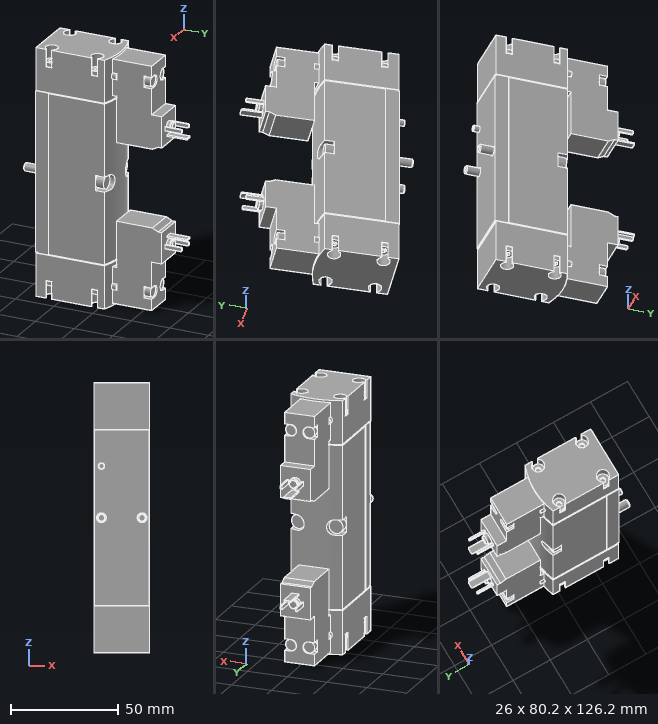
import cadquery as cq
import math

total_height = 126.2
width = 26.0
shoulder_y = 35.8
crown_y = 38.2

cap_base_z = 41.1
cap_front_y = 0.4
plate_inset = 0.4
plate_depth = 6.8
joint_gap = 0.3
joint_depth = plate_inset

cap_screw_x = 9.7
cap_screw_ys = (7.1, 30.7)
cap_hole_diameter = 6.0
cap_head_depth = 6.5
cap_hole_depth = 8.8
cap_slot_width = 3.0
socket_across_flats = 2.5
socket_depth = 1.5

mount_screw_x = 9.5
mount_shank_diameter = 4.0
mount_shank_length = 7.0
mount_shank_chamfer = 0.5
mount_clearance_diameter = 4.5
mount_clearance_depth = 1.3
mount_head_diameter = 7.0
mount_head_top_y = 35.3
mount_seat_y = 31.2
mount_slot_width = 7.6

pin_z = 24.1
pin_diameter = 3.0
pin_length = 3.0
pin_chamfer = 0.3

coil_width = 15.0
coil_top_z = 62.0
coil_foot_z = 43.4
coil_foot_y = 36.6
coil_inner_y = 39.5
coil_back_y = 57.7
connector_top_z = 37.4
connector_y = 62.8
coil_bottom_z = 20.0
bevel_start_y = 61.1
bevel_end_y = 58.0
bevel_start_z = 21.5

coil_screw_x = 4.5
coil_screw_z = 53.4
coil_head_diameter = 5.5
coil_head_top_y = 56.9
coil_seat_y = 53.6
coil_slot_width = 5.7
lug_x = 6.4
lug_diameter = 3.8
lug_top_y = 39.6

contact_z = 29.9
collar_diameter = 5.0
collar_length = 1.8
ring_diameter = 3.8
ring_end_y = 65.6
blade_thickness = 0.8
side_blade_x = 3.8
side_blade_width = 2.0
side_blade_end_y = 71.5
side_blade_chamfer = 0.4
ground_blade_z = 25.6
ground_blade_width = 3.5
ground_blade_end_y = 73.2
ground_blade_chamfer = 0.4

half_height = total_height / 2
half_width = width / 2


def block(x_range, y_range, z_range):
    """Box given by its limits along each axis."""
    (x0, x1), (y0, y1), (z0, z1) = x_range, y_range, z_range
    return cq.Workplane("XY").box(x1 - x0, y1 - y0, z1 - z0, centered=False).translate((x0, y0, z0))


def rod_along_y(x, z, y_start, y_end, diameter):
    """Cylinder parallel to Y between two Y positions."""
    direction = cq.Vector(0, 1, 0)
    return cq.Workplane(
        cq.Solid.makeCylinder(diameter / 2, y_end - y_start, cq.Vector(x, y_start, z), direction)
    )


def arched_prism(front_y, inset, z_range):
    """Prism with flat front and sides and an arched back, shrunk by inset at sides and back."""
    z_start, z_end = z_range
    half = half_width - inset
    return (
        cq.Workplane("XY", origin=(0, 0, z_start))
        .moveTo(-half, front_y)
        .lineTo(half, front_y)
        .lineTo(half, shoulder_y - inset)
        .threePointArc((0, crown_y - inset), (-half, shoulder_y - inset))
        .close()
        .extrude(z_end - z_start)
    )


def side_slot(side, axis_x, z, y_range, slot_width):
    """Round-ended slot along Y, open towards one side of the part."""
    y_start, y_end = y_range
    x_range = sorted((side * axis_x, side * half_width))
    z_range = (z - slot_width / 2, z + slot_width / 2)
    opening = block(x_range, y_range, z_range)
    return opening.union(rod_along_y(side * axis_x, z, y_start, y_end, slot_width))


def make_body():
    """Centre body with its front plate and the recessed joints to the caps."""
    body_top_z = cap_base_z - joint_gap
    body = arched_prism(plate_depth, 0, (-body_top_z, body_top_z))
    core = arched_prism(cap_front_y + joint_depth, joint_depth, (-cap_base_z, cap_base_z))
    plate_half_width = half_width - plate_inset
    plate = block(
        (-plate_half_width, plate_half_width), (0, plate_depth), (-body_top_z, body_top_z)
    )
    return body.union(core).union(plate)


def make_cap():
    """Upper end cap with four sunk socket screws, each slotted out to the side."""
    cap = arched_prism(cap_front_y, 0, (cap_base_z, half_height))
    floor_z = half_height - cap_hole_depth
    head_top_z = half_height - cap_head_depth
    head_height = head_top_z - floor_z
    socket_diameter = socket_across_flats / math.cos(math.pi / 6)
    for side in (-1, 1):
        for y in cap_screw_ys:
            axis = cq.Workplane("XY", origin=(side * cap_screw_x, y, floor_z))
            hole = axis.circle(cap_hole_diameter / 2).extrude(cap_hole_depth)
            slot_xs = sorted((side * cap_screw_x, side * half_width))
            slot_ys = (y - cap_slot_width / 2, y + cap_slot_width / 2)
            slot = block(slot_xs, slot_ys, (floor_z, half_height))
            head = axis.circle(cap_hole_diameter / 2).extrude(head_height)
            socket = (
                cq.Workplane("XY", origin=(side * cap_screw_x, y, head_top_z - socket_depth))
                .transformed(rotate=(0, 0, 90))
                .polygon(6, socket_diameter)
                .extrude(socket_depth)
            )
            cap = cap.cut(hole).cut(slot).union(head.cut(socket))
    return cap


def make_solenoid():
    """Upper pilot solenoid housing with its two screws and the lugs beside its foot."""
    outline = [
        (coil_foot_y, coil_top_z),
        (coil_back_y, coil_top_z),
        (coil_back_y, connector_top_z),
        (connector_y, connector_top_z),
        (connector_y, bevel_start_z),
        (bevel_start_y, bevel_start_z),
        (bevel_end_y, coil_bottom_z),
        (coil_inner_y, coil_bottom_z),
        (coil_inner_y, coil_foot_z),
        (coil_foot_y, coil_foot_z),
    ]
    solenoid = cq.Workplane("YZ").polyline(outline).close().extrude(coil_width / 2, both=True)
    for side in (-1, 1):
        slot = side_slot(side, coil_screw_x, coil_screw_z, (coil_seat_y, coil_back_y), coil_slot_width)
        head = rod_along_y(
            side * coil_screw_x, coil_screw_z, coil_seat_y, coil_head_top_y, coil_head_diameter
        )
        lug = rod_along_y(side * lug_x, coil_screw_z, coil_foot_y, lug_top_y, lug_diameter)
        solenoid = solenoid.cut(slot).union(head).union(lug)
    return solenoid


def make_connector():
    """Connector contacts: centre collar and ring, two side blades and the ground blade."""
    collar_end_y = connector_y + collar_length
    connector = rod_along_y(0, contact_z, connector_y, collar_end_y, collar_diameter)
    connector = connector.union(rod_along_y(0, contact_z, connector_y, ring_end_y, ring_diameter))
    for side in (-1, 1):
        blade = block(
            (side * side_blade_x - blade_thickness / 2, side * side_blade_x + blade_thickness / 2),
            (connector_y, side_blade_end_y),
            (contact_z - side_blade_width / 2, contact_z + side_blade_width / 2),
        )
        connector = connector.union(blade.faces(">Y").edges("|X").chamfer(side_blade_chamfer))
    ground_blade = block(
        (-ground_blade_width / 2, ground_blade_width / 2),
        (connector_y, ground_blade_end_y),
        (ground_blade_z - blade_thickness / 2, ground_blade_z + blade_thickness / 2),
    )
    return connector.union(ground_blade.faces(">Y").edges("|Z").chamfer(ground_blade_chamfer))


def add_mounting_screws(part):
    """Two screws at mid height: heads in side slots, shanks standing out of the front."""
    for side in (-1, 1):
        x = side * mount_screw_x
        slot = side_slot(side, mount_screw_x, 0, (mount_seat_y, crown_y), mount_slot_width)
        head = rod_along_y(x, 0, mount_seat_y, mount_head_top_y, mount_head_diameter)
        clearance = rod_along_y(x, 0, 0, mount_clearance_depth, mount_clearance_diameter)
        shank = rod_along_y(x, 0, -mount_shank_length, mount_clearance_depth, mount_shank_diameter)
        shank = shank.faces("<Y").chamfer(mount_shank_chamfer)
        part = part.cut(slot).cut(clearance).union(head).union(shank)
    return part


def make_locating_pin():
    """Small chamfered pin on the front face, above the left mounting screw."""
    pin = rod_along_y(-mount_screw_x, pin_z, -pin_length, 0, pin_diameter)
    return pin.faces("<Y").chamfer(pin_chamfer)


upper_end = make_cap().union(make_solenoid()).union(make_connector())
lower_end = upper_end.mirror("XY")

result = add_mounting_screws(make_body()).union(upper_end).union(lower_end).union(make_locating_pin())